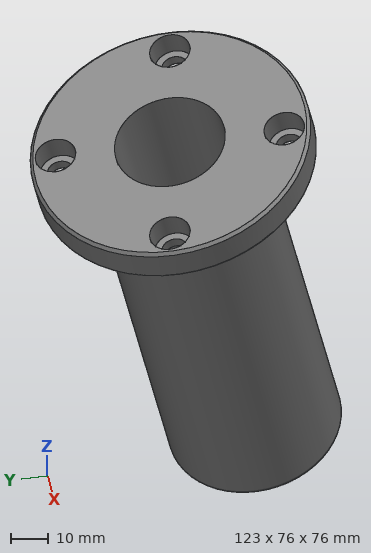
import cadquery as cq

total_length = 123.0
flange_diameter = 76.0
flange_thickness = 10.0
tube_diameter = 47.0
bore_diameter = 30.0
flange_chamfer = 0.9
tube_end_radius = 1.2

relief_width = 1.1
relief_depth = 0.9

screw_count = 4
screw_circle_diameter = 62.0
screw_hole_diameter = 7.0
counterbore_diameter = 11.0
counterbore_depth = 7.0


def make_disc(diameter, start, length):
    """Cylinder about the X axis, beginning at X = start."""
    return cq.Workplane("YZ").workplane(offset=start).circle(diameter / 2).extrude(length)


def make_flange():
    return make_disc(flange_diameter, 0, flange_thickness).edges().chamfer(flange_chamfer)


def make_tube():
    """Tube with a rounded free end and a relief neck joining it to the flange."""
    tube_start = flange_thickness + relief_width
    body = make_disc(tube_diameter, tube_start, total_length - tube_start)
    body = body.faces(">X").edges().fillet(tube_end_radius)
    neck_diameter = tube_diameter - 2 * relief_depth
    return body.union(make_disc(neck_diameter, flange_thickness, relief_width))


def make_screw_holes(diameter, depth):
    """Ring of round cutters entering from the front face of the flange."""
    return (
        cq.Workplane("YZ")
        .polarArray(screw_circle_diameter / 2, 0, 360, screw_count)
        .circle(diameter / 2)
        .extrude(depth)
    )


result = make_flange().union(make_tube())
result = result.cut(make_disc(bore_diameter, 0, total_length))
result = result.cut(make_screw_holes(screw_hole_diameter, flange_thickness))
result = result.cut(make_screw_holes(counterbore_diameter, counterbore_depth))